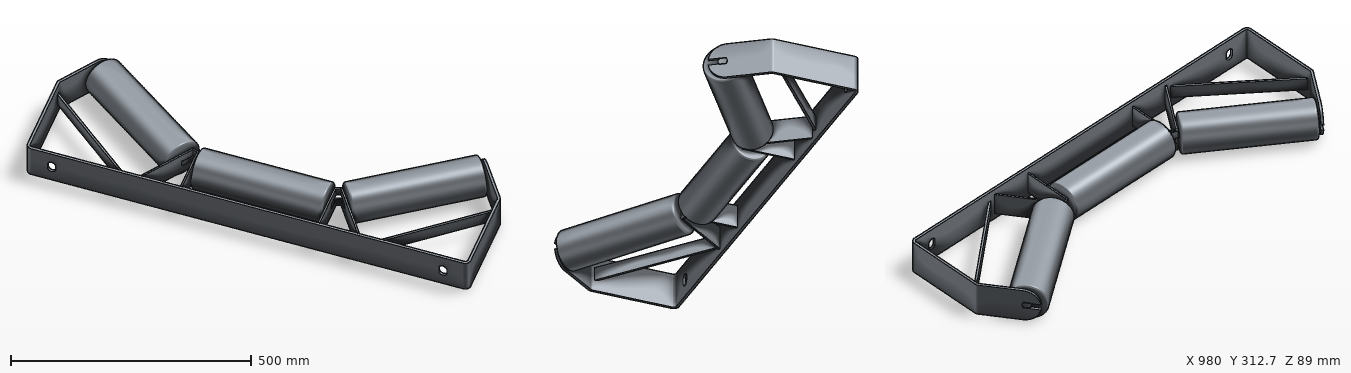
import cadquery as cq
import math

FRAME_LENGTH = 980.0
STRIP_WIDTH = 80.0
STRIP_THICKNESS = 6.0
BEND_RADIUS = 12.0
MOUNT_SLOT_SPACING = 865.0
MOUNT_SLOT_WIDTH = 18.0
MOUNT_SLOT_HEIGHT = 28.0

BRACKET_WIDTH = 52.0
BRACKET_THICKNESS = 4.0
BRACKET_TOP_SETBACK = 27.0

TROUGH_ANGLE = 35.0
ROLLER_DIAMETER = 89.0
ROLLER_LENGTH = 290.0
ROLLER_EDGE_RADIUS = 5.0
SUPPORT_GAP = 300.0
SHAFT_DIAMETER = 20.0
SHAFT_FLAT_WIDTH = 14.0
MIDDLE_ROLLER_Y = 99.0
SIDE_ROLLER_X = 301.0
SIDE_ROLLER_Y = 195.07
ARM_END_ABOVE_SHAFT = 31.0

BRACE_WIDTH = 30.0
BRACE_THICKNESS = 5.0
BRACE_FOOT_X = 265.0
BRACE_TOP_Y = 185.0

ANGLE = math.radians(TROUGH_ANGLE)
ALONG = cq.Vector(math.cos(ANGLE), -math.sin(ANGLE))
ABOVE = cq.Vector(math.sin(ANGLE), math.cos(ANGLE))
HALF_GAP = SUPPORT_GAP / 2
SHAFT_HALF_LENGTH = HALF_GAP + BRACKET_THICKNESS
SIDE_ROLLER_CENTER = cq.Vector(-SIDE_ROLLER_X, SIDE_ROLLER_Y)
MIDDLE_ROLLER_CENTER = cq.Vector(0, MIDDLE_ROLLER_Y)


def mirrored(body):
    """The copy of a body on the other side of the YZ plane."""
    return body.mirror("YZ")


def bent_strip(centerline, bend_radius, width, thickness):
    """A strip standing in Z that follows a polyline, with round bends of the given outer radius."""
    middle_radius = bend_radius - thickness / 2
    path = cq.Workplane("XY").moveTo(*centerline[0].toTuple()[:2])
    for before, corner, after in zip(centerline, centerline[1:], centerline[2:]):
        back = (before - corner).normalized()
        ahead = (after - corner).normalized()
        half_angle = back.getAngle(ahead) / 2
        tangent_length = middle_radius / math.tan(half_angle)
        bisector = (back + ahead).normalized()
        arc_middle = corner + bisector * (middle_radius / math.sin(half_angle) - middle_radius)
        arc_start = corner + back * tangent_length
        arc_end = corner + ahead * tangent_length
        path = path.lineTo(*arc_start.toTuple()[:2])
        path = path.threePointArc(arc_middle.toTuple()[:2], arc_end.toTuple()[:2])
    path = path.lineTo(*centerline[-1].toTuple()[:2])
    direction = (centerline[1] - centerline[0]).normalized()
    section_plane = cq.Plane(origin=centerline[0], xDir=(0, 0, 1), normal=direction)
    return cq.Workplane(section_plane).rect(width, thickness).sweep(path)


def on_roller(body, center, tilt):
    """Moves a body made about a roller along X at the origin to that roller's place."""
    return body.rotate((0, 0, 0), (0, 0, 1), tilt).translate(center)


def flatted_shaft(start_x, length):
    """A length of shaft along X with a flat on its top and bottom in Z."""
    plane = cq.Workplane("YZ", origin=(start_x, 0, 0))
    flats = plane.rect(SHAFT_DIAMETER, SHAFT_FLAT_WIDTH).extrude(length)
    return plane.circle(SHAFT_DIAMETER / 2).extrude(length).intersect(flats)


def support_slot(depth, tilt, center, end):
    """Cutter for the slot at one end (-1 or 1) of a roller, from the support's face into the support."""
    start_x = HALF_GAP if end > 0 else -HALF_GAP - depth
    slot_height = 2 * ARM_END_ABOVE_SHAFT
    plane = cq.Workplane("YZ", origin=(start_x, 0, 0))
    opening = plane.center(slot_height / 2, 0).rect(slot_height, SHAFT_FLAT_WIDTH).extrude(depth)
    return on_roller(flatted_shaft(start_x, depth).union(opening), center, tilt)


def make_roller(center, tilt):
    drum = (
        cq.Workplane("YZ", origin=(-ROLLER_LENGTH / 2, 0, 0))
        .circle(ROLLER_DIAMETER / 2)
        .extrude(ROLLER_LENGTH)
        .edges("%CIRCLE")
        .fillet(ROLLER_EDGE_RADIUS)
    )
    shaft = flatted_shaft(-SHAFT_HALF_LENGTH, 2 * SHAFT_HALF_LENGTH)
    return on_roller(drum.union(shaft), center, tilt)


middle_roller = make_roller(MIDDLE_ROLLER_CENTER, 0)
left_roller = make_roller(SIDE_ROLLER_CENTER, -TROUGH_ANGLE)
right_roller = mirrored(left_roller)


def make_frame():
    half = STRIP_THICKNESS / 2
    upright_x = -FRAME_LENGTH / 2 + half
    at_shaft = SIDE_ROLLER_CENTER - ALONG * (HALF_GAP + half)
    arm_end = at_shaft + ABOVE * ARM_END_ABOVE_SHAFT
    bend_y = at_shaft.y - (at_shaft.x - upright_x) / math.tan(ANGLE)
    left_half = [cq.Vector(upright_x, half), cq.Vector(upright_x, bend_y), arm_end]
    right_half = [cq.Vector(-point.x, point.y) for point in left_half]
    frame = bent_strip(left_half[::-1] + right_half, BEND_RADIUS, STRIP_WIDTH, STRIP_THICKNESS)

    end_rounding = rounded_end_waste(at_shaft)
    slot = support_slot(STRIP_THICKNESS, -TROUGH_ANGLE, SIDE_ROLLER_CENTER, -1)
    for cutter in (end_rounding, slot):
        frame = frame.cut(cutter).cut(mirrored(cutter))

    mount_slots = (
        cq.Workplane("XZ")
        .pushPoints([(-MOUNT_SLOT_SPACING / 2, 0), (MOUNT_SLOT_SPACING / 2, 0)])
        .slot2D(MOUNT_SLOT_HEIGHT, MOUNT_SLOT_WIDTH, 90)
        .extrude(-STRIP_THICKNESS)
    )
    return frame.cut(mount_slots)


def rounded_end_waste(at_shaft):
    """What is cut off the square end of the left arm to make it a half circle."""
    radius = STRIP_WIDTH / 2
    center = at_shaft + ABOVE * (ARM_END_ABOVE_SHAFT - radius)
    plane = cq.Plane(origin=center, xDir=ABOVE, normal=ALONG)
    square = cq.Workplane(plane).center(radius / 2, 0).rect(radius, STRIP_WIDTH)
    square = square.extrude(STRIP_THICKNESS, both=True)
    disc = cq.Workplane(plane).circle(radius).extrude(STRIP_THICKNESS, both=True)
    return square.cut(disc)


frame = make_frame()


def make_bracket():
    outer_x = -HALF_GAP
    side_face = SIDE_ROLLER_CENTER + ALONG * HALF_GAP
    meeting_y = side_face.y + (outer_x - side_face.x) / math.tan(ANGLE)
    foot_x = side_face.x - side_face.y * math.tan(ANGLE)
    meeting = cq.Vector(outer_x, meeting_y)
    top_inner = meeting - cq.Vector(0, BRACKET_TOP_SETBACK)
    top_outer = meeting - ABOVE * BRACKET_TOP_SETBACK

    outline = [(outer_x, 0), top_inner.toTuple()[:2], top_outer.toTuple()[:2], (foot_x, 0)]
    plane = cq.Workplane("XY", origin=(0, 0, -BRACKET_WIDTH / 2))
    outside = plane.polyline(outline).close().extrude(BRACKET_WIDTH)
    inside = plane.polyline(outline).close().offset2D(-BRACKET_THICKNESS).extrude(BRACKET_WIDTH)
    bracket = outside.cut(inside).cut(base_space())

    top_width = top_inner.x - top_outer.x
    bracket = bracket.cut(support_slot(top_width, 0, MIDDLE_ROLLER_CENTER, -1))
    return bracket.cut(support_slot(BRACKET_THICKNESS, -TROUGH_ANGLE, SIDE_ROLLER_CENTER, 1))


def base_space():
    """The room at and below the top face of the base, where no other body may be."""
    depth = FRAME_LENGTH / 2
    space = cq.Workplane("XY").box(2 * FRAME_LENGTH, depth, FRAME_LENGTH)
    return space.translate((0, STRIP_THICKNESS - depth / 2, 0))


left_bracket = make_bracket()
right_bracket = mirrored(left_bracket)


def make_brace():
    upright_face_x = -FRAME_LENGTH / 2 + STRIP_THICKNESS
    top = cq.Vector(upright_face_x, BRACE_TOP_Y)
    foot = cq.Vector(-BRACE_FOOT_X, STRIP_THICKNESS)
    run = (foot - top).normalized()
    overrun = run * (4 * BRACE_THICKNESS)
    plane = cq.Plane(origin=top - overrun, xDir=(0, 0, 1), normal=run)
    length = (foot - top + overrun * 2).Length
    bar = cq.Workplane(plane).rect(BRACE_WIDTH, BRACE_THICKNESS).extrude(length)
    upright_space = cq.Workplane("XY").box(FRAME_LENGTH, FRAME_LENGTH, FRAME_LENGTH)
    upright_space = upright_space.translate((upright_face_x - FRAME_LENGTH / 2, 0, 0))
    return bar.cut(base_space()).cut(upright_space)


left_brace = make_brace()
right_brace = mirrored(left_brace)

result = cq.Compound.makeCompound(
    [
        frame.val(),
        left_bracket.val(),
        right_bracket.val(),
        left_brace.val(),
        right_brace.val(),
        middle_roller.val(),
        left_roller.val(),
        right_roller.val(),
    ]
)